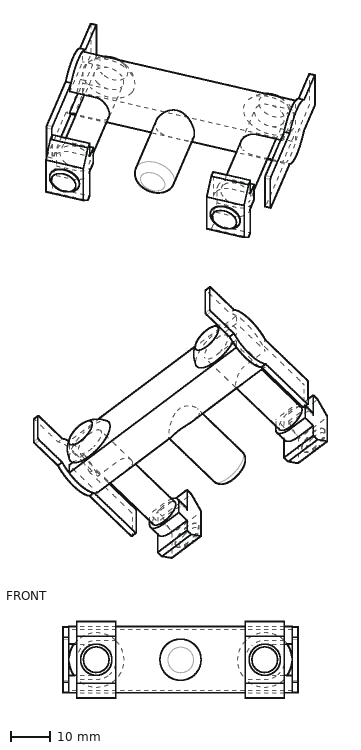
import cadquery as cq
import math


overall_length = 60.0
plate_thickness = 1.5
bar_length = overall_length - 2 * plate_thickness
bar_diameter = 17.0
bar_radius = bar_diameter / 2
bar_back_y = 3.5

boss_diameter = 16.8
plate_height = 11.5
plate_back_y = 15.5
plate_length = 38.0
plate_corner_radius = 0.5

peg_diameter = 10.5
peg_tip_y = -27.6
peg_tip_radius = 2.0

bolt_spacing = 43.0
shank_diameter = 8.0
bolt_tip_y = -34.8
bolt_tip_chamfer = 0.7
head_diameter = 14.0
head_top_diameter = 8.0
head_height = 3.5
head_bulge = 0.4

nut_width = 10.0
nut_height = 19.6
nut_bevel = 3.85
flange_thickness = 5.45
neck_length = 3.2
tip_overhang = 0.9
nut_face_y = bolt_tip_y + tip_overhang
flange_back_y = nut_face_y + flange_thickness
neck_back_y = flange_back_y + neck_length

bolt_positions = [-bolt_spacing / 2, bolt_spacing / 2]


def cylinder_along_y(diameter, start_y, end_y):
    """Cylinder on the Y axis that runs from start_y down to end_y."""
    return cq.Workplane("XZ", origin=(0, start_y, 0)).circle(diameter / 2).extrude(start_y - end_y)


def make_end_plate(lower_x):
    """Plate whose lower-X face lies at lower_x."""
    side = cq.Workplane("YZ", origin=(lower_x, 0, 0))
    strip = (
        side.center(plate_back_y - plate_length / 2, 0)
        .rect(plate_length, plate_height)
        .extrude(plate_thickness)
        .edges("|X")
        .fillet(plate_corner_radius)
    )
    boss = side.circle(boss_diameter / 2).extrude(plate_thickness)
    return strip.union(boss)


def make_bolt_slot(bolt_x):
    """Slot through the bar that ends round at the bolt and opens at the nearer end of the bar."""
    end_x = math.copysign(bar_length / 2, bolt_x)
    straight = cq.Workplane("XY").box(abs(end_x - bolt_x), bar_diameter, shank_diameter)
    straight = straight.translate(((bolt_x + end_x) / 2, 0, 0))
    round_end = cylinder_along_y(shank_diameter, bar_radius, -bar_radius).translate((bolt_x, 0, 0))
    return straight.union(round_end)


def make_handle():
    """Bar flattened at the back, with bolt slots, end plates and the centre peg."""
    bar = cq.Workplane("YZ", origin=(-bar_length / 2, 0, 0)).circle(bar_radius).extrude(bar_length)
    back_cut = cq.Workplane("XY").box(bar_length, bar_diameter, bar_diameter)
    bar = bar.cut(back_cut.translate((0, bar_back_y + bar_diameter / 2, 0)))
    for bolt_x in bolt_positions:
        bar = bar.cut(make_bolt_slot(bolt_x))
    peg = cylinder_along_y(peg_diameter, 0, peg_tip_y).faces("<Y").edges().fillet(peg_tip_radius)
    bar = bar.union(peg)
    for lower_x in (-overall_length / 2, bar_length / 2):
        bar = bar.union(make_end_plate(lower_x))
    return bar


def make_head():
    """Domed head with a flat top, turned about the bolt axis."""
    base_radius = head_diameter / 2
    top_radius = head_top_diameter / 2
    top_y = bar_back_y + head_height
    slant = math.hypot(base_radius - top_radius, head_height)
    bulge_x = (base_radius + top_radius) / 2 + head_bulge * head_height / slant
    bulge_y = bar_back_y + head_height / 2 + head_bulge * (base_radius - top_radius) / slant
    return (
        cq.Workplane("XY")
        .moveTo(0, bar_back_y)
        .lineTo(base_radius, bar_back_y)
        .threePointArc((bulge_x, bulge_y), (top_radius, top_y))
        .lineTo(0, top_y)
        .close()
        .revolve(360, (0, 0, 0), (0, 1, 0))
    )


def make_nut():
    """T-nut: bevelled flange and a square neck with two opposite corners rounded."""
    flange = (
        cq.Workplane("XZ", origin=(0, flange_back_y, 0))
        .rect(nut_width, nut_height)
        .extrude(flange_thickness)
        .faces("<Y")
        .edges("|X")
        .chamfer(nut_bevel)
    )
    half = nut_width / 2
    diagonal = half * math.sqrt(0.5)
    neck = (
        cq.Workplane("XZ", origin=(0, neck_back_y, 0))
        .moveTo(-half, -half)
        .lineTo(0, -half)
        .threePointArc((diagonal, -diagonal), (half, 0))
        .lineTo(half, half)
        .lineTo(0, half)
        .threePointArc((-diagonal, diagonal), (-half, 0))
        .close()
        .extrude(neck_length)
    )
    return flange.union(neck)


def make_bolt(bolt_x):
    """Bolt with its head and T-nut, placed at bolt_x along the bar."""
    shank = cylinder_along_y(shank_diameter, bar_back_y, bolt_tip_y)
    shank = shank.faces("<Y").chamfer(bolt_tip_chamfer)
    bolt = shank.union(make_head()).union(make_nut())
    return bolt.translate((bolt_x, 0, 0))


handle = make_handle()
bolts = [make_bolt(bolt_x) for bolt_x in bolt_positions]

result = cq.Compound.makeCompound([handle.val(), *[bolt.val() for bolt in bolts]])